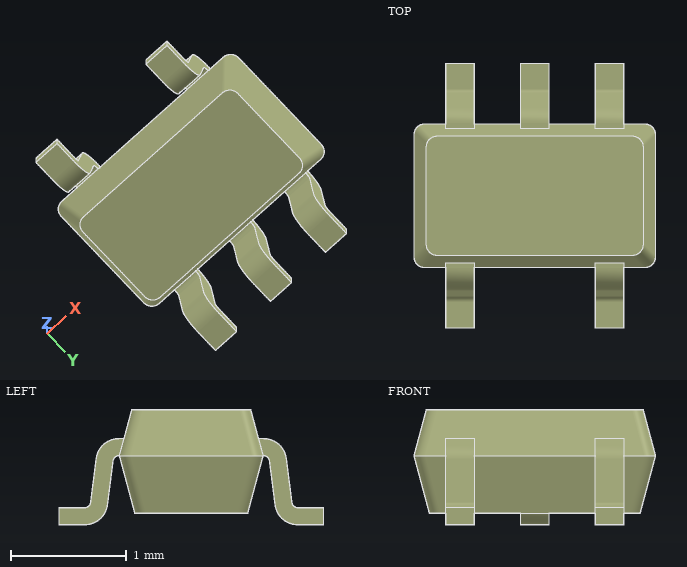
import cadquery as cq
import math

body_length = 2.1
body_width = 1.25
body_bottom = 0.1
body_top = 1.0
parting_height = 0.6
draft_angle = 15.0
corner_radius = 0.1

span = 2.3
lead_width = 0.25
lead_pitch = 0.65
lead_thickness = 0.15
lead_top = 0.75
foot_length = 0.225
inner_bend_radius = 0.05
outer_bend_radius = inner_bend_radius + lead_thickness
leg_tilt = 7.25
embedded_depth = 0.2


def body_half(height):
    """Drafted half of the body, narrowing away from the parting plane."""
    half = (
        cq.Workplane("XY")
        .workplane(offset=parting_height)
        .rect(body_length, body_width)
        .extrude(height, taper=draft_angle)
    )
    return half.edges("not(#Z)").fillet(corner_radius)


def bend_point(center, radius, angle):
    """Point on a bend, with the angle in degrees from the +Y direction."""
    turn = math.radians(angle)
    return (center[0] + radius * math.cos(turn), center[1] + radius * math.sin(turn))


def lead(x, side):
    """Lead at x, leaving the body toward side * Y, with its foot on Z = 0."""
    tip = span / 2
    heel_center = (tip - foot_length, outer_bend_radius)
    shoulder_height = lead_top - outer_bend_radius

    tilt = math.radians(leg_tilt)
    bend_radii = inner_bend_radius + outer_bend_radius
    rise = shoulder_height - heel_center[1]
    leg_run = (bend_radii + rise * math.sin(tilt)) / math.cos(tilt)
    shoulder_center = (heel_center[0] - leg_run, shoulder_height)
    root = body_width / 2 - embedded_depth
    middle = (leg_tilt + 90) / 2

    profile = (
        cq.Workplane("YZ")
        .moveTo(root, lead_top)
        .lineTo(shoulder_center[0], lead_top)
        .threePointArc(
            bend_point(shoulder_center, outer_bend_radius, middle),
            bend_point(shoulder_center, outer_bend_radius, leg_tilt),
        )
        .lineTo(*bend_point(heel_center, inner_bend_radius, 180 + leg_tilt))
        .threePointArc(
            bend_point(heel_center, inner_bend_radius, 180 + middle),
            bend_point(heel_center, inner_bend_radius, 270),
        )
        .lineTo(tip, lead_thickness)
        .lineTo(tip, 0)
        .lineTo(heel_center[0], 0)
        .threePointArc(
            bend_point(heel_center, outer_bend_radius, 180 + middle),
            bend_point(heel_center, outer_bend_radius, 180 + leg_tilt),
        )
        .lineTo(*bend_point(shoulder_center, inner_bend_radius, leg_tilt))
        .threePointArc(
            bend_point(shoulder_center, inner_bend_radius, middle),
            bend_point(shoulder_center, inner_bend_radius, 90),
        )
        .lineTo(root, lead_top - lead_thickness)
        .close()
    )
    solid = profile.extrude(lead_width / 2, both=True)
    if side < 0:
        solid = solid.mirror("XZ")
    return solid.translate((x, 0, 0))


upper_half = body_half(body_top - parting_height)
lower_half = body_half(parting_height - body_bottom).mirror("XY", (0, 0, parting_height))
result = upper_half.union(lower_half)

for x in (-lead_pitch, 0, lead_pitch):
    result = result.union(lead(x, 1))
for x in (-lead_pitch, lead_pitch):
    result = result.union(lead(x, -1))